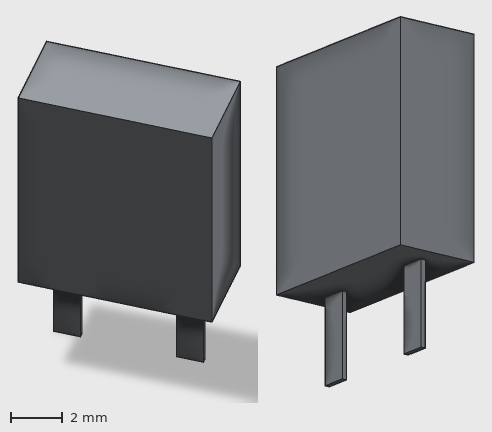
import cadquery as cq

total_height = 12.9
body_width = 7.9
body_depth = 3.6

lead_length = 3.6
lead_width = 1.1
lead_thickness = 0.2
lead_pitch = 5.0

body_height = total_height - lead_length


def make_body():
    """Rectangular body, centred in X and Y, with its underside at Z = 0."""
    return cq.Workplane("XY").box(body_width, body_depth, body_height, centered=(True, True, False))


def make_lead(x_center):
    """Flat lead hanging from the underside of the body."""
    return (
        cq.Workplane("XY")
        .center(x_center, 0)
        .rect(lead_width, lead_thickness)
        .extrude(-lead_length)
    )


body = make_body()
leads = [make_lead(side * lead_pitch / 2) for side in (-1, 1)]

result = cq.Compound.makeCompound([body.val(), *[lead.val() for lead in leads]])